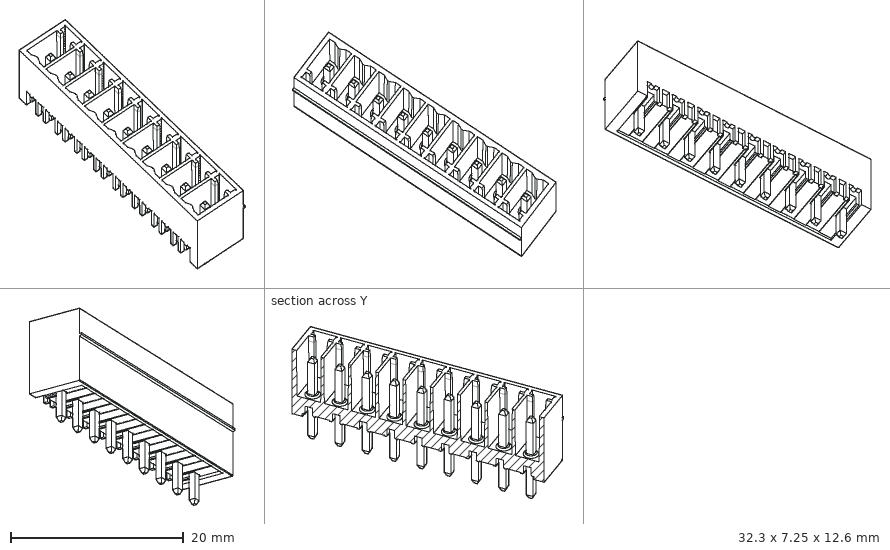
import cadquery as cq

LENGTH = 32.3
DEPTH = 6.95
HEIGHT = 9.17
REAR_EDGE_CHAMFER = 0.1

POLES = 9
END_TO_FIRST_PIN = 2.15
PITCH = (LENGTH - 2 * END_TO_FIRST_PIN) / (POLES - 1)
PIN_XS = [(i - (POLES - 1) / 2) * PITCH for i in range(POLES)]
MIDWAY_XS = [x + PITCH / 2 for x in PIN_XS[:-1]]
PIN_Y = 2.97

FLOOR_Z = 2.75
CAVITY_WIDTH = 3.1
CAVITY_REAR_WIDTH = 2.85
CAVITY_FRONT_Y = 0.65
CAVITY_DRAFT = 0.05
CAVITY_REAR_Y = 6.4
BUMP_WIDTH = 1.55
BUMP_TOP_WIDTH = 0.25
BUMP_RISE = 0.32

RIB_FRONT_Y = 5.15
RIB_REAR_Y = 5.6
RIB_GAP = 1.68
RIB_RELIEF = 0.05
RIB_RELIEF_HEIGHT = 0.7

COLLAR_DIAMETER = 1.8
COLLAR_TOP_DIAMETER = 1.4
COLLAR_HEIGHT = (COLLAR_DIAMETER - COLLAR_TOP_DIAMETER) / 2

PIN_WIDTH = 0.9
PIN_THICKNESS = 0.8
PIN_BOTTOM_Z = -3.42
PIN_TOP_Z = 7.95
PIN_TIP_LENGTH = 0.52
PIN_TIP_SIZE = 0.4

SLOT_HEIGHT = 2.62
SLOT_DEPTH = 0.52
PIN_SLOT_WIDTH = 1.68
MIDWAY_SLOT_WIDTH = 0.9
TAB_RADIUS = 0.3
RECESS_HEIGHT = 0.5
RECESS_REAR_Y = CAVITY_REAR_Y
PAD_BOTTOM_Z = 0.4
NOTCH_TOP_Z = 1.55
NOTCH_CHAMFER = 0.13
NOTCH_REAR_Y = PIN_Y + PIN_THICKNESS / 2

RIDGE_DEPTH = 0.3
RIDGE_TOP_Z = 5.98
RIDGE_TIP_Z = 5.75
RIDGE_BOTTOM_Z = 5.62


def box(x_mid, width, y0, y1, z0, z1):
    """Box centred on x_mid that spans y0..y1 and z0..z1."""
    block = cq.Workplane("XY").box(width, y1 - y0, z1 - z0, centered=(True, False, False))
    return block.translate((x_mid, y0, z0))


def housing_block():
    """Outer block with its rear bottom edge chamfered and the rear ridge."""
    block = box(0, LENGTH, 0, DEPTH, 0, HEIGHT)
    block = block.faces("<Z").edges(">Y").chamfer(REAR_EDGE_CHAMFER)
    ridge = (
        cq.Workplane("YZ", origin=(-LENGTH / 2, 0, 0))
        .moveTo(DEPTH, RIDGE_TOP_Z)
        .lineTo(DEPTH + RIDGE_DEPTH, RIDGE_TOP_Z)
        .lineTo(DEPTH + RIDGE_DEPTH, RIDGE_TIP_Z)
        .lineTo(DEPTH, RIDGE_BOTTOM_Z)
        .close()
        .extrude(LENGTH)
    )
    return block.union(ridge)


def cavity_front_outline(z, inset):
    """Outline of the cavity in front of the ribs at height z, with front and sides moved in by inset."""
    half = CAVITY_WIDTH / 2 - inset
    front_y = CAVITY_FRONT_Y + inset
    bump_top_y = front_y + BUMP_RISE
    return cq.Wire.makePolygon(
        [
            cq.Vector(-half, front_y, z),
            cq.Vector(-BUMP_WIDTH / 2, front_y, z),
            cq.Vector(-BUMP_TOP_WIDTH / 2, bump_top_y, z),
            cq.Vector(BUMP_TOP_WIDTH / 2, bump_top_y, z),
            cq.Vector(BUMP_WIDTH / 2, front_y, z),
            cq.Vector(half, front_y, z),
            cq.Vector(half, RIB_FRONT_Y, z),
            cq.Vector(-half, RIB_FRONT_Y, z),
        ],
        close=True,
    )


def cavity():
    """Solid to remove for a pole centred on x = 0."""
    floor_outline = cavity_front_outline(FLOOR_Z, CAVITY_DRAFT)
    top_outline = cavity_front_outline(HEIGHT, 0)
    front = cq.Workplane(obj=cq.Solid.makeLoft([floor_outline, top_outline], True))
    gap = box(0, RIB_GAP, RIB_FRONT_Y, RIB_REAR_Y, FLOOR_Z, HEIGHT)
    rear = box(0, CAVITY_REAR_WIDTH, RIB_REAR_Y, CAVITY_REAR_Y - CAVITY_DRAFT, FLOOR_Z, HEIGHT)
    shape = front.union(gap).union(rear).union(rear_wall_draft())
    return shape.union(rib_gap_relief()).union(rib_front_relief())


def rear_wall_draft():
    """Wedge that slopes the rear wall of the cavity back towards the top."""
    foot_y = CAVITY_REAR_Y - CAVITY_DRAFT
    return (
        cq.Workplane("YZ", origin=(-CAVITY_WIDTH / 2, 0, 0))
        .moveTo(foot_y, FLOOR_Z)
        .lineTo(CAVITY_REAR_Y, HEIGHT)
        .lineTo(foot_y, HEIGHT)
        .close()
        .extrude(CAVITY_WIDTH)
    )


def rib_gap_relief():
    """Wedge that widens the gap between the ribs towards the top."""
    return (
        cq.Workplane("XZ", origin=(0, RIB_FRONT_Y, 0))
        .moveTo(-RIB_GAP / 2, HEIGHT - RIB_RELIEF_HEIGHT)
        .lineTo(RIB_GAP / 2, HEIGHT - RIB_RELIEF_HEIGHT)
        .lineTo(RIB_GAP / 2 + RIB_RELIEF, HEIGHT)
        .lineTo(-RIB_GAP / 2 - RIB_RELIEF, HEIGHT)
        .close()
        .extrude(RIB_FRONT_Y - RIB_REAR_Y)
    )


def rib_front_relief():
    """Wedge that slopes the front faces of the ribs back towards the top."""
    return (
        cq.Workplane("YZ", origin=(-CAVITY_WIDTH / 2, 0, 0))
        .moveTo(RIB_FRONT_Y, HEIGHT - RIB_RELIEF_HEIGHT)
        .lineTo(RIB_FRONT_Y + RIB_RELIEF, HEIGHT)
        .lineTo(RIB_FRONT_Y, HEIGHT)
        .close()
        .extrude(CAVITY_WIDTH)
    )


def pin_slot():
    """Solid to remove for the front slot at a pin; a round tab hangs from its top edge."""
    half = PIN_SLOT_WIDTH / 2
    slot = (
        cq.Workplane("XZ")
        .moveTo(-half, 0)
        .lineTo(half, 0)
        .lineTo(half, SLOT_HEIGHT)
        .lineTo(TAB_RADIUS, SLOT_HEIGHT)
        .threePointArc((0, SLOT_HEIGHT - TAB_RADIUS), (-TAB_RADIUS, SLOT_HEIGHT))
        .lineTo(-half, SLOT_HEIGHT)
        .close()
        .extrude(-SLOT_DEPTH)
    )
    return slot.union(pin_notch())


def pin_notch():
    """Clearance from the slot back to the pin, chamfered where it leaves the pad."""
    half = PIN_WIDTH / 2
    notch = box(0, PIN_WIDTH, SLOT_DEPTH, NOTCH_REAR_Y, 0, NOTCH_TOP_Z)
    chamfer = (
        cq.Workplane("XZ", origin=(0, SLOT_DEPTH, 0))
        .moveTo(-half - NOTCH_CHAMFER, PAD_BOTTOM_Z)
        .lineTo(half + NOTCH_CHAMFER, PAD_BOTTOM_Z)
        .lineTo(half, PAD_BOTTOM_Z + NOTCH_CHAMFER)
        .lineTo(-half, PAD_BOTTOM_Z + NOTCH_CHAMFER)
        .close()
        .extrude(SLOT_DEPTH - NOTCH_REAR_Y)
    )
    return notch.union(chamfer)


def underside_recess():
    """Shallow recess behind the front wall, with a lower pad around each pin."""
    recess_length = PIN_XS[-1] - PIN_XS[0] + PIN_SLOT_WIDTH
    recess = box(0, recess_length, SLOT_DEPTH, RECESS_REAR_Y, 0, RECESS_HEIGHT)
    for x in PIN_XS:
        recess = recess.cut(box(x, PIN_SLOT_WIDTH, SLOT_DEPTH, RECESS_REAR_Y, PAD_BOTTOM_Z, RECESS_HEIGHT))
    return recess


def pin_tip(base_z, end_z):
    """Pyramid from the full pin section at base_z to a small square at end_z."""
    return (
        cq.Workplane("XY", origin=(0, PIN_Y, base_z))
        .rect(PIN_WIDTH, PIN_THICKNESS)
        .workplane(offset=end_z - base_z)
        .rect(PIN_TIP_SIZE, PIN_TIP_SIZE)
        .loft(ruled=True)
    )


def pin():
    """Rectangular pin with tapered ends and the collar at the cavity floor."""
    shank_bottom_z = PIN_BOTTOM_Z + PIN_TIP_LENGTH
    shank_top_z = PIN_TOP_Z - PIN_TIP_LENGTH
    half = PIN_THICKNESS / 2
    shank = box(0, PIN_WIDTH, PIN_Y - half, PIN_Y + half, shank_bottom_z, shank_top_z)
    bottom_tip = pin_tip(shank_bottom_z, PIN_BOTTOM_Z)
    top_tip = pin_tip(shank_top_z, PIN_TOP_Z)
    collar = (
        cq.Workplane("XY", origin=(0, PIN_Y, FLOOR_Z))
        .circle(COLLAR_DIAMETER / 2)
        .workplane(offset=COLLAR_HEIGHT)
        .circle(COLLAR_TOP_DIAMETER / 2)
        .loft()
    )
    return shank.union(bottom_tip).union(top_tip).union(collar)


housing = housing_block().cut(underside_recess())
for x in MIDWAY_XS:
    housing = housing.cut(box(x, MIDWAY_SLOT_WIDTH, 0, SLOT_DEPTH, 0, SLOT_HEIGHT))

cavity_shape = cavity()
pin_slot_shape = pin_slot()
pin_shape = pin()
for x in PIN_XS:
    housing = housing.cut(cavity_shape.translate((x, 0, 0)))
    housing = housing.cut(pin_slot_shape.translate((x, 0, 0)))
    housing = housing.union(pin_shape.translate((x, 0, 0)))

result = housing